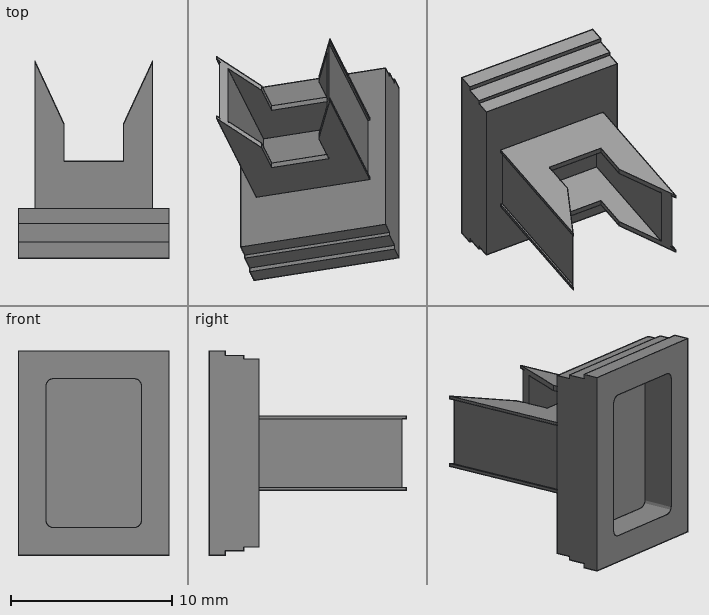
import cadquery as cq

plate_width = 9.35
plate_height = 12.7
front_step_depth = 1.02
middle_step_depth = 1.14
back_step_depth = 0.94
middle_step_inset = 0.28
back_step_inset = 0.51
plate_depth = front_step_depth + middle_step_depth + back_step_depth

pocket_width = 5.93
pocket_height = 9.25
pocket_depth = 2.03
pocket_radius = 0.47

overall_depth = 12.24
clip_width = 7.32
clip_height = 4.62
flange_thickness = 0.19
slot_width = 3.68
slot_floor_offset = 2.92
taper_start_offset = 5.23
wall_inset = 0.121
wall_thickness = 0.34
cavity_cover = 0.34


def centred_block(width, depth, height, start_y):
    """Block centred on X and Z, running back from start_y."""
    block = cq.Workplane("XY").box(width, depth, height, centered=(True, False, True))
    return block.translate((0, start_y, 0))


def make_plate():
    middle_y = front_step_depth
    back_y = middle_y + middle_step_depth
    middle_height = plate_height - 2 * middle_step_inset
    back_height = plate_height - 2 * back_step_inset
    plate = centred_block(plate_width, front_step_depth, plate_height, 0)
    plate = plate.union(centred_block(plate_width, middle_step_depth, middle_height, middle_y))
    plate = plate.union(centred_block(plate_width, back_step_depth, back_height, back_y))
    pocket = centred_block(pocket_width, pocket_depth, pocket_height, 0)
    return plate.cut(pocket.edges("|Y").fillet(pocket_radius))


def fork_prism(bottom_z, height):
    """Fork outline with two pointed prongs, extruded upward from bottom_z."""
    half_width = clip_width / 2
    half_slot = slot_width / 2
    slot_floor_y = plate_depth + slot_floor_offset
    taper_start_y = plate_depth + taper_start_offset
    outline = [
        (-half_width, plate_depth),
        (-half_width, overall_depth),
        (-half_slot, taper_start_y),
        (-half_slot, slot_floor_y),
        (half_slot, slot_floor_y),
        (half_slot, taper_start_y),
        (half_width, overall_depth),
        (half_width, plate_depth),
    ]
    return cq.Workplane("XY").workplane(offset=bottom_z).polyline(outline).close().extrude(height)


def make_clip():
    half_height = clip_height / 2
    lower_flange = fork_prism(-half_height, flange_thickness)
    upper_flange = fork_prism(half_height - flange_thickness, flange_thickness)

    prong_length = overall_depth - plate_depth
    core_width = clip_width - 2 * wall_inset
    cavity_width = core_width - 2 * wall_thickness
    cavity_height = clip_height - 2 * cavity_cover
    core = centred_block(core_width, prong_length, clip_height, plate_depth)
    cavity = centred_block(cavity_width, prong_length, cavity_height, plate_depth)
    core = core.intersect(fork_prism(-half_height, clip_height)).cut(cavity)
    return core.union(lower_flange).union(upper_flange)


result = make_plate().union(make_clip())